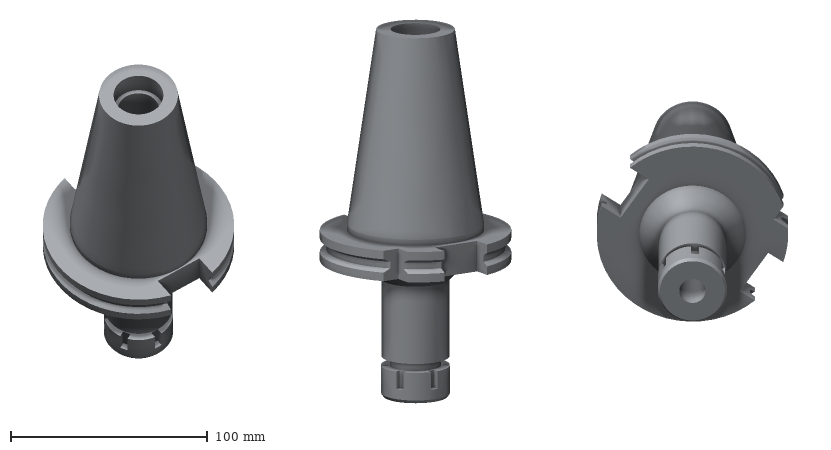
import cadquery as cq
import math

total_height = 191.8
nut_height = 16.1
shank_bottom_z = 20.7
cone_bottom_z = 61.2
flange_bottom_z = 71.0
flange_thickness = 16.0
flange_top_z = flange_bottom_z + flange_thickness
taper_base_z = 90.0

thread_radius = 13.0
shank_radius = 17.3
flange_radius = 48.7
taper_base_radius = 34.9
taper_rate = 7 / 24
taper_top_radius = taper_base_radius - taper_rate / 2 * (total_height - taper_base_z)
cone_top_radius = shank_radius + (flange_bottom_z - cone_bottom_z)

groove_floor_width = 3.5
groove_depth = 3.0
groove_flank_angle = 30.0
groove_mouth_width = groove_floor_width + 2 * groove_depth * math.tan(math.radians(groove_flank_angle))

key_slot_width = 25.7
left_key_floor = 37.8
right_key_floor = 35.5
notch_corner = 29.7

counterbore_radius = 12.7
counterbore_depth = 11.5
bore_radius = 10.5

nut_radius = 17.6
nut_chamfer_height = 1.7
nut_chamfer_width = 1.2
spanner_slot_count = 6
spanner_slot_width = 4.0
spanner_slot_depth = 9.2
spanner_slot_floor = 14.2
nut_lip_height = nut_height - spanner_slot_depth

collet_bore_radius = 6.7
collet_length = 31.5


def cylinder(radius, bottom_z, top_z):
    return cq.Workplane("XY").workplane(offset=bottom_z).circle(radius).extrude(top_z - bottom_z)


def block(x_min, x_max, y_min, y_max, z_min, z_max):
    size = (x_max - x_min, y_max - y_min, z_max - z_min)
    return cq.Workplane("XY").box(*size, centered=False).translate((x_min, y_min, z_min))


def flange_cut(x_min, x_max, y_min, y_max):
    """Block that cuts through the whole flange thickness."""
    return block(x_min, x_max, y_min, y_max, flange_bottom_z, flange_top_z)


def make_holder_blank():
    """Threaded nose, shank, cone, grooved flange and taper as one turned shape."""
    groove_z = (flange_bottom_z + flange_top_z) / 2
    groove_radius = flange_radius - groove_depth
    profile = [
        (0, nut_lip_height),
        (thread_radius, nut_lip_height),
        (thread_radius, shank_bottom_z),
        (shank_radius, shank_bottom_z),
        (shank_radius, cone_bottom_z),
        (cone_top_radius, flange_bottom_z),
        (flange_radius, flange_bottom_z),
        (flange_radius, groove_z - groove_mouth_width / 2),
        (groove_radius, groove_z - groove_floor_width / 2),
        (groove_radius, groove_z + groove_floor_width / 2),
        (flange_radius, groove_z + groove_mouth_width / 2),
        (flange_radius, flange_top_z),
        (taper_base_radius, flange_top_z),
        (taper_base_radius, taper_base_z),
        (taper_top_radius, total_height),
        (0, total_height),
    ]
    return cq.Workplane("XZ").polyline(profile).close().revolve(360, (0, 0), (0, 1))


def make_holder():
    holder = make_holder_blank()

    holder = holder.cut(cylinder(counterbore_radius, total_height - counterbore_depth, total_height))
    holder = holder.cut(cylinder(bore_radius, nut_lip_height, total_height))

    half_slot = key_slot_width / 2
    holder = holder.cut(flange_cut(-flange_radius, -left_key_floor, -half_slot, half_slot))
    holder = holder.cut(flange_cut(right_key_floor, flange_radius, -half_slot, half_slot))
    holder = holder.cut(flange_cut(-flange_radius, -notch_corner, notch_corner, flange_radius))
    return holder


def make_nut():
    profile = [
        (bore_radius, 0),
        (nut_radius - nut_chamfer_width, 0),
        (nut_radius, nut_chamfer_height),
        (nut_radius, nut_height),
        (thread_radius, nut_height),
        (thread_radius, nut_lip_height),
        (bore_radius, nut_lip_height),
    ]
    nut = cq.Workplane("XZ").polyline(profile).close().revolve(360, (0, 0), (0, 1))

    half_slot = spanner_slot_width / 2
    slot = block(spanner_slot_floor, nut_radius + half_slot, -half_slot, half_slot,
                 nut_height - spanner_slot_depth, nut_height)
    for index in range(spanner_slot_count):
        angle = index * 360 / spanner_slot_count
        nut = nut.cut(slot.rotate((0, 0, 0), (0, 0, 1), angle))
    return nut


def make_collet():
    """Plain sleeve in the holder's nose, flush with the nut's lower face."""
    return cylinder(bore_radius, 0, collet_length).cut(cylinder(collet_bore_radius, 0, collet_length))


holder = make_holder()
nut = make_nut()
collet = make_collet()

result = cq.Compound.makeCompound([holder.val(), nut.val(), collet.val()])